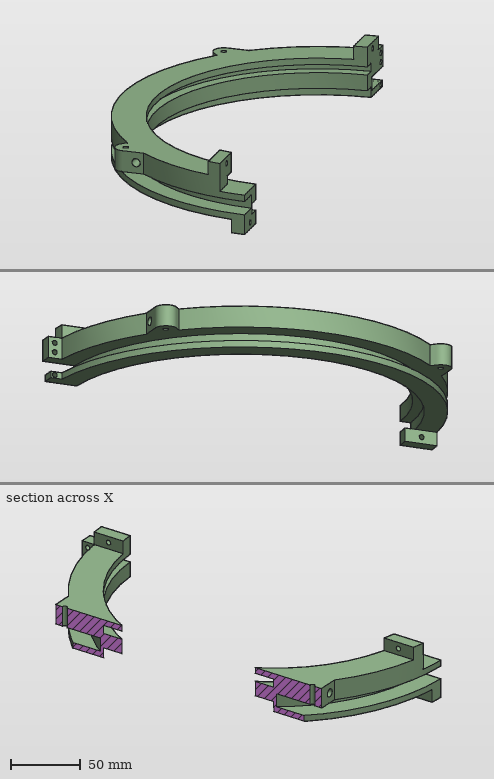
import cadquery as cq
import math

outer_radius = 148.0
neck_radius = 133.0
relief_radius = 131.3
inner_radius = 123.0
end_x = -5.0

flange_height = 5.0
neck_height = 10.0
body_height = 16.0
neck_top = flange_height + neck_height
body_top = neck_top + body_height

wall = 5.0
channel_bottom = neck_top + wall
channel_top = body_top - wall
counterbore_height = 8.0

tab_height = 10.0
tab_thickness = 10.0
lap_tab_thickness = 9.5
lap_length = 19.3
lap_x = end_x - lap_length
overall_y = 306
body_ear_reach = overall_y - math.sqrt(outer_radius**2 - end_x**2)
flange_ear_reach = 156.0
end_tab_x = (end_x - tab_thickness, end_x)
lap_tab_x = (lap_x - lap_tab_thickness, lap_x)

screw_diameter = 3.7
screw_rise = 5.2
ear_screw_y = 153.0
ear_screw_spacing = 7.0
ear_lower_screw_z = neck_top + 4.5
screw_axes = {
    "lap tab": (-131.0, body_top + screw_rise),
    "end tab": (135.0, body_top + screw_rise),
    "hanging tab": (-135.3, -screw_rise),
    "body ear, lower": (ear_screw_y, ear_lower_screw_z),
    "body ear, upper": (ear_screw_y, ear_lower_screw_z + ear_screw_spacing),
    "flange ear": (ear_screw_y, flange_height / 2),
}

hinge_x = -108.3
hinge_y = 108.0
hinge_radius = 8.0
hinge_hole_diameter = 4.0
hinge_root_x = -85.7
side_hole_x = -98.0
side_hole_diameter = 6.0
side_hole_depth = 15.3


def disc(radius, bottom, top):
    return cq.Workplane("XY", origin=(0, 0, bottom)).circle(radius).extrude(top - bottom)


def ring(radius, bottom, top):
    return disc(radius, bottom, top).cut(disc(inner_radius, bottom, top))


def block(x_range, y_range, z_range):
    """Box between the given (low, high) limits."""
    lows, highs = zip(x_range, y_range, z_range)
    size = [high - low for low, high in zip(lows, highs)]
    return cq.Workplane("XY").box(*size, centered=False).translate(lows)


def half_ring():
    """Grooved ring with its inner channel and bottom counterbore, cut at the end face."""
    full = ring(outer_radius, 0, flange_height)
    full = full.union(ring(neck_radius, flange_height, neck_top))
    full = full.union(ring(outer_radius, neck_top, body_top))
    kept_half = block((-outer_radius, end_x), (-outer_radius, outer_radius), (0, body_top))
    full = full.cut(disc(relief_radius, channel_bottom, channel_top))
    return full.cut(disc(relief_radius, 0, counterbore_height)).intersect(kept_half)


def ring_tab(x_range, bottom, side):
    """Slice of the ring standing on its top or hanging below; side is the sign of Y."""
    z_range = (bottom, bottom + tab_height)
    y_range = sorted((0, side * outer_radius))
    return ring(outer_radius, *z_range).intersect(block(x_range, y_range, z_range))


def hinge_ear():
    """Rounded ear on the +Y side: flat outer face, 45 degree inner face."""
    outer_y = hinge_y + hinge_radius
    offset = hinge_radius * math.sqrt(0.5)
    tangent_x = hinge_x - offset
    tangent_y = hinge_y - offset
    root_y = tangent_y - (hinge_root_x - tangent_x)
    outline = (
        cq.Workplane("XY", origin=(0, 0, neck_top))
        .moveTo(hinge_root_x, outer_y)
        .lineTo(hinge_x, outer_y)
        .threePointArc((hinge_x - hinge_radius, hinge_y), (tangent_x, tangent_y))
        .lineTo(hinge_root_x, root_y)
        .close()
    )
    return outline.extrude(body_height).cut(disc(relief_radius, neck_top, body_top))


def hinge_holes():
    """Vertical pin hole and blind side hole of the +Y ear."""
    pin = (
        cq.Workplane("XY", origin=(hinge_x, hinge_y, neck_top))
        .circle(hinge_hole_diameter / 2)
        .extrude(body_height)
    )
    side_hole = (
        cq.Workplane("XZ", origin=(side_hole_x, hinge_y + hinge_radius, neck_top + body_height / 2))
        .circle(side_hole_diameter / 2)
        .extrude(side_hole_depth)
    )
    return pin.union(side_hole)


def screw_hole(y, z):
    start_x = lap_tab_x[0]
    return cq.Workplane("YZ", origin=(start_x, y, z)).circle(screw_diameter / 2).extrude(end_x - start_x)


result = half_ring()

result = result.union(hinge_ear()).union(hinge_ear().mirror("XZ"))
result = result.cut(hinge_holes()).cut(hinge_holes().mirror("XZ"))

result = result.union(ring_tab(end_tab_x, body_top, 1))
result = result.union(ring_tab(lap_tab_x, body_top, -1))
result = result.union(ring_tab(end_tab_x, -tab_height, -1))

result = result.union(block(end_tab_x, (neck_radius, body_ear_reach), (neck_top, body_top)))
result = result.union(block(end_tab_x, (neck_radius, flange_ear_reach), (0, flange_height)))

result = result.cut(block((lap_x, end_x), (-outer_radius, 0), (channel_bottom, body_top)))

for axis_y, axis_z in screw_axes.values():
    result = result.cut(screw_hole(axis_y, axis_z))